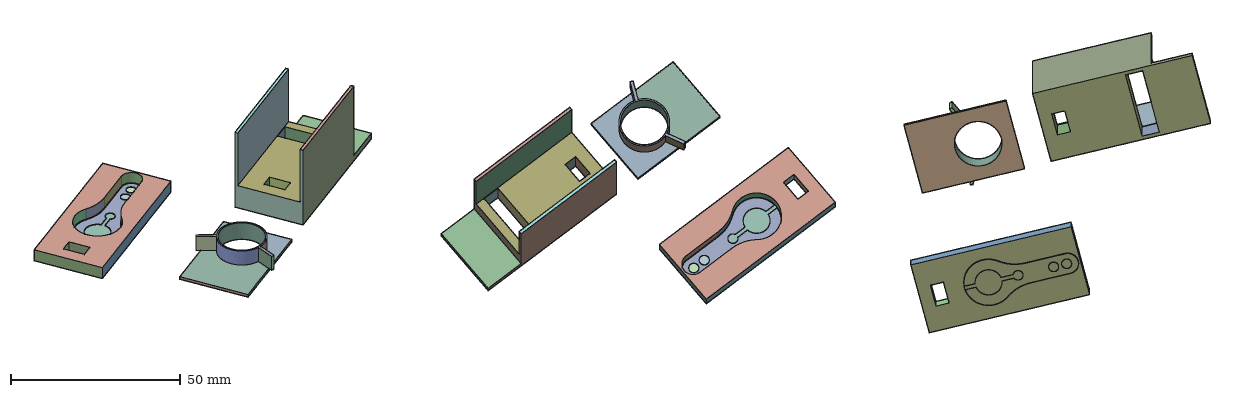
import cadquery as cq
import math

BODY_WIDTH = 22.2
WALL = 1.0
WINDOW_WIDTH = 6.8
WINDOW_LENGTH = 4.0

TRAY_LENGTH = 48.9
TRAY_HEIGHT = 4.0
TRAY_X = BODY_WIDTH / 2
TRAY_WINDOW_Y = 6.0

POCKET_DEPTH = 3.7
BULB_RADIUS = 7.4
BULB_Y = 20.9
NECK_RADIUS = 3.3
NECK_FLARE_Y = 32.9
NECK_END_Y = 45.0

RECESS_DEPTH = 0.2
RECESS_INSET = 0.1
DOT_DIAMETER = 3.0
DOT_YS = (40.8, 44.7)
KEYHOLE_DOT_Y = 29.9
DISC_DIAMETER = 7.9
BAR_WIDTH = 1.2

RIGHT_CENTRE_X = 54.3
HOUSING_BASE_Z = 1.2
PLATE_BASE_Z = 0.2

HOUSING_FRONT_Y = 48.1
HOUSING_LENGTH = 48.7
HOUSING_HEIGHT = 27.0
FLOOR_HEIGHT = 8.0
WALLED_LENGTH = 36.2
TONGUE_THICKNESS = 2.0
SLOT_WIDTH = 19.95
SLOT_LENGTH = 5.2
SLOT_Y = 30.7
HOUSING_WINDOW_Y = 5.9

PLATE_FRONT_Y = 8.9
PLATE_LENGTH = 31.2
RING_Y = 28.8
RING_INNER_DIAMETER = 14.0
RING_OUTER_DIAMETER = 15.0
RING_HEIGHT = 5.0
FIN_ANGLE = 25.0
FIN_REACH = 12.7
FIN_TIP_DROP = 5.2


def make_box(width, length, height, x, y, z):
    """Block centred on x and y, standing on z."""
    return cq.Workplane("XY", origin=(x, y, z)).box(width, length, height, centered=(True, True, False))


def make_disc(diameter, height, x, y, z):
    """Upright cylinder centred on x and y, standing on z."""
    return cq.Workplane("XY", origin=(x, y, z)).circle(diameter / 2).extrude(height)



def make_spoon(inset, height, z):
    """Spoon-shaped prism standing on z, with its outline moved inwards by inset."""
    bulb_radius = BULB_RADIUS - inset
    neck_radius = NECK_RADIUS - inset
    rise = NECK_FLARE_Y - BULB_Y
    flare_radius = (neck_radius**2 + rise**2 - bulb_radius**2) / (2 * (bulb_radius - neck_radius))
    flare_x = neck_radius + flare_radius
    bulb_fraction = bulb_radius / (bulb_radius + flare_radius)
    join_x = flare_x * bulb_fraction
    join_y = BULB_Y + rise * bulb_fraction
    half_sweep = math.atan2(rise, flare_x) / 2
    mid_x = flare_x - flare_radius * math.cos(half_sweep)
    mid_y = NECK_FLARE_Y - flare_radius * math.sin(half_sweep)
    return (
        cq.Workplane("XY", origin=(TRAY_X, 0, z))
        .moveTo(-neck_radius, NECK_FLARE_Y)
        .lineTo(-neck_radius, NECK_END_Y)
        .threePointArc((0, NECK_END_Y + neck_radius), (neck_radius, NECK_END_Y))
        .lineTo(neck_radius, NECK_FLARE_Y)
        .threePointArc((mid_x, mid_y), (join_x, join_y))
        .threePointArc((0, BULB_Y - bulb_radius), (-join_x, join_y))
        .threePointArc((-mid_x, mid_y), (-neck_radius, NECK_FLARE_Y))
        .close()
        .extrude(height)
    )


def make_islands(z):
    """Dots, disc and bar that stand in the recess, level with the pocket floor."""
    bar_front = BULB_Y - BULB_RADIUS
    bar_length = KEYHOLE_DOT_Y - bar_front
    islands = make_box(BAR_WIDTH, bar_length, RECESS_DEPTH, TRAY_X, bar_front + bar_length / 2, z)
    islands = islands.union(make_disc(DISC_DIAMETER, RECESS_DEPTH, TRAY_X, BULB_Y, z))
    for y in (KEYHOLE_DOT_Y, *DOT_YS):
        islands = islands.union(make_disc(DOT_DIAMETER, RECESS_DEPTH, TRAY_X, y, z))
    return islands


def make_tray():
    floor_z = TRAY_HEIGHT - POCKET_DEPTH
    recess_z = floor_z - RECESS_DEPTH
    body = make_box(BODY_WIDTH, TRAY_LENGTH, TRAY_HEIGHT, TRAY_X, TRAY_LENGTH / 2, 0)
    pocket = make_spoon(0, POCKET_DEPTH, floor_z)
    recess = make_spoon(RECESS_INSET, RECESS_DEPTH, recess_z).cut(make_islands(recess_z))
    window = make_box(WINDOW_WIDTH, WINDOW_LENGTH, TRAY_HEIGHT, TRAY_X, TRAY_WINDOW_Y, 0)
    return body.cut(pocket).cut(recess).cut(window)



def make_housing():
    """Raised floor between two tall side walls, with a thin tongue at the back."""
    x, y, z = RIGHT_CENTRE_X, HOUSING_FRONT_Y, HOUSING_BASE_Z
    walled_y = y + WALLED_LENGTH / 2
    channel_width = BODY_WIDTH - 2 * WALL
    channel_height = HOUSING_HEIGHT - FLOOR_HEIGHT
    tongue = make_box(BODY_WIDTH, HOUSING_LENGTH, TONGUE_THICKNESS, x, y + HOUSING_LENGTH / 2, z)
    walled = make_box(BODY_WIDTH, WALLED_LENGTH, HOUSING_HEIGHT, x, walled_y, z)
    channel = make_box(channel_width, WALLED_LENGTH, channel_height, x, walled_y, z + FLOOR_HEIGHT)
    slot = make_box(SLOT_WIDTH, SLOT_LENGTH, FLOOR_HEIGHT, x, y + SLOT_Y, z)
    window = make_box(WINDOW_WIDTH, WINDOW_LENGTH, FLOOR_HEIGHT, x, y + HOUSING_WINDOW_Y, z)
    return tongue.union(walled).cut(channel).cut(slot).cut(window)



def make_right_fin():
    """Upright fin from inside the ring wall out to its tip, with the ring centre as origin."""
    slope = math.radians(FIN_ANGLE)
    tip_x = FIN_REACH - WALL / 2 * math.sin(slope)
    root_x = RING_INNER_DIAMETER / 2 * math.cos(slope)
    length = (tip_x - root_x) / math.cos(slope)
    return (
        cq.Workplane("XY")
        .box(length, WALL, RING_HEIGHT, centered=(False, True, False))
        .translate((-length, 0, 0))
        .rotate((0, 0, 0), (0, 0, 1), -FIN_ANGLE)
        .translate((tip_x, -FIN_TIP_DROP, 0))
    )


def make_ring_plate():
    """Thin plate carrying an open ring with a fin on each side."""
    x, z = RIGHT_CENTRE_X, PLATE_BASE_Z
    ring_top = WALL + RING_HEIGHT
    body = make_box(BODY_WIDTH, PLATE_LENGTH, WALL, x, PLATE_FRONT_Y + PLATE_LENGTH / 2, z)
    body = body.union(make_disc(RING_OUTER_DIAMETER, ring_top, x, RING_Y, z))
    right_fin = make_right_fin()
    for fin in (right_fin, right_fin.mirror("YZ")):
        body = body.union(fin.translate((x, RING_Y, z + WALL)))
    return body.cut(make_disc(RING_INNER_DIAMETER, ring_top, x, RING_Y, z))


tray = make_tray()
housing = make_housing()
ring_plate = make_ring_plate()

result = cq.Compound.makeCompound([tray.val(), housing.val(), ring_plate.val()])